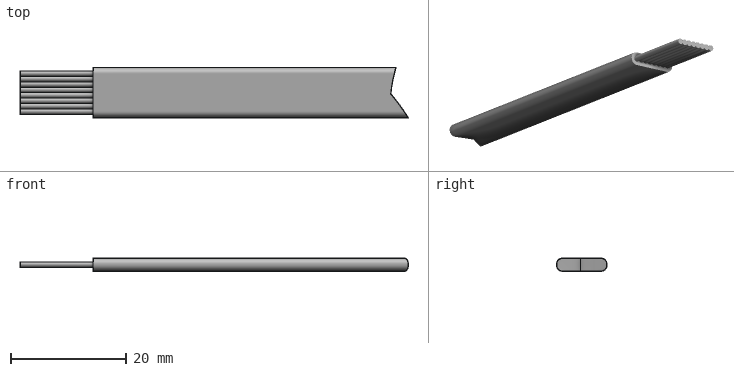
import cadquery as cq

total_length = 67.4
cable_width = 8.75
cable_thickness = 2.3
edge_radius = 1.1

wire_count = 8
wire_diameter = 1.0
wire_pitch = 0.95
bared_length = 12.7

tear_valley_x = 64.4
tear_valley_y = -0.2
tear_curve_x = 64.65
tear_curve_y = 1.75
tear_back_x = 65.25
tear_slant_x = 66.05
tear_slant_y = -2.35

half_width = cable_width / 2


def make_sheath():
    """Round-edged flat sheath, trimmed to the torn outline at its right end."""
    sheath = (
        cq.Workplane("YZ", origin=(bared_length, 0, 0))
        .rect(cable_width, cable_thickness)
        .extrude(total_length - bared_length)
        .edges("|X")
        .fillet(edge_radius)
    )
    outline = (
        cq.Workplane("XY")
        .moveTo(bared_length, -half_width)
        .lineTo(total_length, -half_width)
        .threePointArc((tear_slant_x, tear_slant_y), (tear_valley_x, tear_valley_y))
        .threePointArc((tear_curve_x, tear_curve_y), (tear_back_x, half_width))
        .lineTo(bared_length, half_width)
        .close()
        .extrude(cable_thickness / 2, both=True)
    )
    return sheath.intersect(outline)


def make_wire(index):
    """One round wire, ending where it enters the sheath."""
    wire_y = (index - (wire_count - 1) / 2) * wire_pitch
    return (
        cq.Workplane("YZ")
        .center(wire_y, 0)
        .circle(wire_diameter / 2)
        .extrude(bared_length)
    )


result = make_sheath()
for wire_index in range(wire_count):
    result = result.union(make_wire(wire_index))